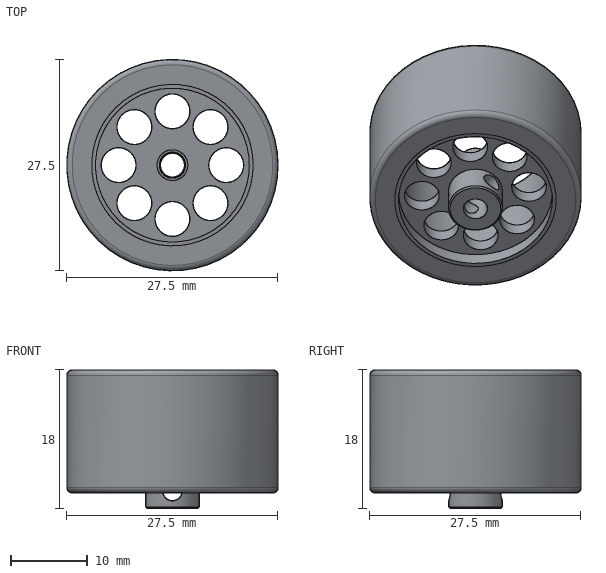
import cadquery as cq

TYRE_DIAMETER = 27.5
TYRE_WIDTH = 16.0
TYRE_EDGE_RADIUS = 0.7

RIM_OUTER_DIAMETER = 21.0
RIM_INNER_DIAMETER = 20.0

WEB_TOP = 4.0
WEB_THICKNESS = 2.0
WEB_BOTTOM = WEB_TOP - WEB_THICKNESS
WEB_HOLE_DIAMETER = 4.5
WEB_HOLE_COUNT = 8
WEB_HOLE_CIRCLE_RADIUS = 7.0

SLEEVE_DIAMETER = 4.0
SLEEVE_HEIGHT = 5.0
COLLAR_DIAMETER = 7.0
COLLAR_OVERHANG = 2.0
COLLAR_EDGE_CHAMFER = 0.2
COLLAR_BOTTOM = -COLLAR_OVERHANG

BORE_DIAMETER = 3.1
BORE_CHAMFER = 0.15
HUB_TOP = WEB_TOP + SLEEVE_HEIGHT

CROSS_HOLE_DIAMETER = 2.5
CROSS_HOLE_EDGE_DISTANCE = 1.0
CROSS_HOLE_Z = COLLAR_BOTTOM + CROSS_HOLE_EDGE_DISTANCE + CROSS_HOLE_DIAMETER / 2


def cylinder(diameter, bottom, top):
    """Solid cylinder on the Z axis between two heights."""
    return cq.Workplane("XY").workplane(offset=bottom).circle(diameter / 2).extrude(top - bottom)


def make_tyre():
    """Plain ring with rounded outer edges."""
    body = cylinder(TYRE_DIAMETER, 0, TYRE_WIDTH).edges().fillet(TYRE_EDGE_RADIUS)
    return body.cut(cylinder(RIM_OUTER_DIAMETER, 0, TYRE_WIDTH))


def make_rim():
    outer = cylinder(RIM_OUTER_DIAMETER, 0, TYRE_WIDTH)
    return outer.cut(cylinder(RIM_INNER_DIAMETER, 0, TYRE_WIDTH))


def make_web():
    """Disc pierced by a ring of equally spaced lightening holes."""
    holes = (
        cq.Workplane("XY")
        .workplane(offset=WEB_BOTTOM)
        .polarArray(WEB_HOLE_CIRCLE_RADIUS, 0, 360, WEB_HOLE_COUNT)
        .circle(WEB_HOLE_DIAMETER / 2)
        .extrude(WEB_THICKNESS)
    )
    return cylinder(RIM_OUTER_DIAMETER, WEB_BOTTOM, WEB_TOP).cut(holes)


def make_hub():
    """Sleeve and collar, before the bore is cut."""
    sleeve = cylinder(SLEEVE_DIAMETER, WEB_BOTTOM, HUB_TOP)
    collar = cylinder(COLLAR_DIAMETER, COLLAR_BOTTOM, WEB_BOTTOM)
    cross_hole = (
        cq.Workplane("XZ")
        .center(0, CROSS_HOLE_Z)
        .circle(CROSS_HOLE_DIAMETER / 2)
        .extrude(COLLAR_DIAMETER / 2, both=True)
    )
    collar = collar.faces("<Z").edges().chamfer(COLLAR_EDGE_CHAMFER).cut(cross_hole)
    return collar.union(sleeve)


def make_bore():
    """Cutter for the axle bore, with a lead-in chamfer at the sleeve end."""
    bore_radius = BORE_DIAMETER / 2
    mouth_radius = bore_radius + BORE_CHAMFER
    half_section = [
        (0, COLLAR_BOTTOM),
        (bore_radius, COLLAR_BOTTOM),
        (bore_radius, HUB_TOP - BORE_CHAMFER),
        (mouth_radius, HUB_TOP),
        (0, HUB_TOP),
    ]
    return cq.Workplane("XZ").polyline(half_section).close().revolve(360, (0, 0), (0, 1))


def make_wheel():
    return make_rim().union(make_web()).union(make_hub()).cut(make_bore())


tyre = make_tyre()
wheel = make_wheel()

result = cq.Compound.makeCompound([tyre.val(), wheel.val()])